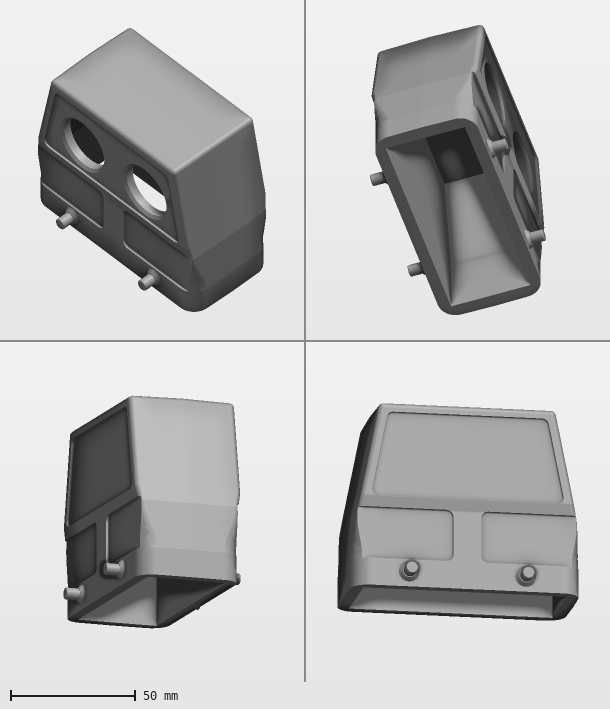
import cadquery as cq
import math


length = 93.5
skirt_half_width = 21.55
upper_half_width = 22.5
height = 76.0
skirt_height = 11.2
shoulder_height = 30.9
shoulder_half_length = 45.2
top_half_length = 36.1
draft_angle = 1.0
skirt_radius = 7.5
edge_radius = 2.0
middle_steps = 6

overhang_bottom = 32.1
overhang_top = 37.0
overhang_radius = 3.7

recess_depth = 1.0
recess_floor_radius = 0.5
panel_inset = 4.4
panel_bottom = 36.7
panel_top = 71.9
recess_corner_radius = 2.8

field_inner_x = 5.7
field_top = 32.4

entry_x = 18.0
entry_z = 51.05
entry_diameter = 23.5
entry_rim_diameter = 25.8

pin_x = 23.75
pin_z = 6.2
pin_diameter = 4.8
pin_tip_y = 28.5
pin_tip_chamfer = 0.3
collar_base_diameter = 8.2
collar_tip_diameter = 5.6
collar_length = 1.5

cavity_half_width = 16.7
end_wall = 3.7
cavity_shoulder_height = 28.05

overlap = 0.9

half_length = length / 2
end_slope = (shoulder_half_length - top_half_length) / (height - shoulder_height)


def upper_half_length(z):
    """Half length of the upper body on the parting plane at height z."""
    return shoulder_half_length - end_slope * (z - shoulder_height)


def peaked_section(peak_x, radius, z):
    """Rounded rectangle whose two ends rise slightly to a peak at Y = 0."""
    corner_x = peak_x - skirt_half_width * math.tan(math.radians(draft_angle))
    w = skirt_half_width
    outline = [(peak_x, 0), (corner_x, w), (-corner_x, w), (-peak_x, 0), (-corner_x, -w), (corner_x, -w), (peak_x, 0)]
    sketch = cq.Sketch().polygon(outline).vertices(">Y or <Y").fillet(radius)
    return sketch.moved(cq.Location(cq.Vector(0, 0, z)))


def make_skirt():
    return cq.Workplane("XY").placeSketch(peaked_section(half_length, skirt_radius, 0)).extrude(skirt_height)


def middle_section(fraction):
    """Section of the middle at a fraction of its height; the corner radius follows an S-curve."""
    peak_x = half_length + fraction * (shoulder_half_length - half_length)
    blend = (1 - math.cos(math.pi * fraction)) / 2
    radius = skirt_radius + blend * (edge_radius - skirt_radius)
    return peaked_section(peak_x, radius, skirt_height + fraction * (shoulder_height - skirt_height))


def make_middle():
    """Flare whose corner radius shrinks from the skirt up to the shoulder."""
    sections = [middle_section(step / middle_steps) for step in range(middle_steps + 1)]
    return cq.Workplane("XY").placeSketch(*sections).loft()


def is_rounded_edge(edge):
    center = edge.Center()
    roof_edge = center.z > height - edge_radius and abs(center.y) > edge_radius
    corner_edge = abs(center.x) > top_half_length / 2 and abs(center.y) > skirt_half_width - edge_radius
    return roof_edge or (corner_edge and center.z > shoulder_height + 0.1)


def is_overhang_bend(edge):
    center = edge.Center()
    return overhang_bottom - 0.1 < center.z < overhang_top + 0.1


def make_upper():
    low_z = shoulder_height - 10 * overlap
    low_x = upper_half_length(low_z)
    profile = [(-low_x, low_z), (low_x, low_z), (top_half_length, height), (-top_half_length, height)]
    blank = cq.Workplane("XZ").polyline(profile).close().extrude(upper_half_width, taper=draft_angle)
    cross_section = [
        (0, shoulder_height),
        (-skirt_half_width, shoulder_height),
        (-skirt_half_width, overhang_bottom),
        (-upper_half_width, overhang_top),
        (-upper_half_width, height),
        (0, height),
    ]
    envelope = cq.Workplane("YZ").polyline(cross_section).close().extrude(half_length, both=True)
    bends = [edge for edge in envelope.edges("|X").vals() if is_overhang_bend(edge)]
    envelope = envelope.newObject(bends).fillet(overhang_radius)
    front_half = blank.intersect(envelope)
    rounded_edges = [edge for edge in front_half.edges().vals() if is_rounded_edge(edge)]
    front_half = front_half.newObject(rounded_edges).fillet(edge_radius)
    return front_half.union(front_half.mirror("XZ"))


def recess_cutter(outline, floor_y):
    """Round-cornered cutter for the front side, given by its (x, z) outline and floor position."""
    rim = cq.Sketch().polygon(outline + outline[:1]).vertices().fillet(recess_corner_radius)
    floor_plane = cq.Workplane("XZ", origin=(0, -floor_y, 0))
    block = floor_plane.placeSketch(rim).extrude(recess_depth + 2 * overlap)
    return block.faces(">Y").edges().fillet(recess_floor_radius)


def cut_both_sides(body, cutter):
    return body.cut(cutter).cut(cutter.mirror("XZ"))


def cut_panels(body):
    bottom_x = upper_half_length(panel_bottom) - panel_inset
    top_x = upper_half_length(panel_top) - panel_inset
    outline = [(-bottom_x, panel_bottom), (bottom_x, panel_bottom), (top_x, panel_top), (-top_x, panel_top)]
    return cut_both_sides(body, recess_cutter(outline, upper_half_width - recess_depth))


def cut_fields(body):
    """The fields run out through the rounded ends of the hood."""
    outer_x = half_length + 2 * recess_corner_radius
    outline = [
        (field_inner_x, skirt_height),
        (outer_x, skirt_height),
        (outer_x, field_top),
        (field_inner_x, field_top),
    ]
    cutter = recess_cutter(outline, skirt_half_width - recess_depth)
    return cut_both_sides(body, cutter.union(cutter.mirror("YZ")))


def make_cavity():
    low_x = shoulder_half_length - end_wall
    roof_z = height - end_wall
    roof_x = upper_half_length(roof_z) - end_wall
    profile = [
        (-low_x, -overlap),
        (low_x, -overlap),
        (low_x, cavity_shoulder_height),
        (roof_x, roof_z),
        (-roof_x, roof_z),
        (-low_x, cavity_shoulder_height),
    ]
    return cq.Workplane("XZ").polyline(profile).close().extrude(cavity_half_width, both=True)


def make_entry(x):
    """Countersunk hole through the front wall only."""
    floor_y = upper_half_width - recess_depth
    rim_depth = (entry_rim_diameter - entry_diameter) / 2
    profile = [
        (0, 0),
        (entry_rim_diameter / 2, 0),
        (entry_diameter / 2, rim_depth),
        (entry_diameter / 2, floor_y - cavity_half_width + overlap),
        (0, floor_y - cavity_half_width + overlap),
    ]
    cutter = cq.Workplane("XY").polyline(profile).close().revolve(360, (0, 0, 0), (0, 1, 0))
    return cutter.translate((x, -floor_y, entry_z))


def make_pin(x):
    """Front pin with a conical collar, turned about an axis along Y."""
    tip = pin_tip_y - skirt_half_width
    radius = pin_diameter / 2
    profile = [
        (0, -overlap),
        (collar_base_diameter / 2, -overlap),
        (collar_base_diameter / 2, 0),
        (collar_tip_diameter / 2, collar_length),
        (radius, collar_length),
        (radius, tip - pin_tip_chamfer),
        (radius - pin_tip_chamfer, tip),
        (0, tip),
    ]
    pin = cq.Workplane("XY").polyline(profile).close().revolve(360, (0, 0, 0), (0, 1, 0))
    return pin.mirror("XZ").translate((x, -skirt_half_width, pin_z))


hood = make_skirt().union(make_middle()).union(make_upper())
hood = cut_panels(hood)
hood = cut_fields(hood)
hood = hood.cut(make_cavity())
for side in (-1, 1):
    hood = hood.cut(make_entry(side * entry_x))
    pin = make_pin(side * pin_x)
    hood = hood.union(pin).union(pin.mirror("XZ"))

result = hood